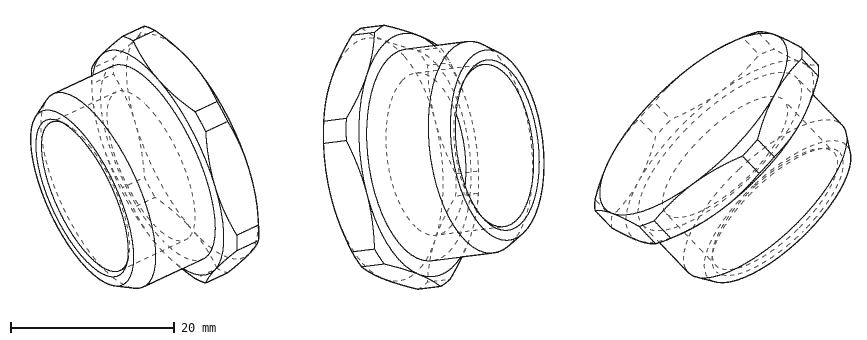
import cadquery as cq
import math

across_flats = 30.0
corner_diameter = 33.15
head_thickness = 5.0
total_length = 16.0
head_chamfer_angle = 30.0

shank_diameter = 26.12
shank_tip_diameter = 23.47
shank_chamfer_length = 2.35

bore_mouth_diameter = 21.02
bore_mouth_length = 0.5
bore_diameter = 20.02
bore_depth = 10.0
floor_cone_depth = 3.0


def revolve_about_y(outline):
    """Revolve a closed (radius, y) outline about the plug axis."""
    return cq.Workplane("XY").polyline(outline).close().revolve(360, (0, 0, 0), (0, 1, 0))


def make_head():
    """Hexagon head, corners turned round and chamfered on both faces."""
    across_corners = across_flats / math.cos(math.radians(30))
    hexagon = cq.Workplane("XZ").polygon(6, across_corners).extrude(-head_thickness)

    face_radius = across_flats / 2
    corner_radius = corner_diameter / 2
    chamfer_length = (corner_radius - face_radius) * math.tan(math.radians(head_chamfer_angle))
    turned_envelope = revolve_about_y([
        (0, 0),
        (face_radius, 0),
        (corner_radius, chamfer_length),
        (corner_radius, head_thickness - chamfer_length),
        (face_radius, head_thickness),
        (0, head_thickness),
    ])
    return hexagon.intersect(turned_envelope)


tip_y = head_thickness - total_length


def make_shank():
    """Round shank with a chamfered tip."""
    return revolve_about_y([
        (0, 0),
        (shank_diameter / 2, 0),
        (shank_diameter / 2, tip_y + shank_chamfer_length),
        (shank_tip_diameter / 2, tip_y),
        (0, tip_y),
    ])


def make_bore():
    """Blind, round bore with a chamfered mouth and a shallow conical floor."""
    floor_y = tip_y + bore_depth
    return revolve_about_y([
        (0, tip_y),
        (bore_mouth_diameter / 2, tip_y),
        (bore_diameter / 2, tip_y + bore_mouth_length),
        (bore_diameter / 2, floor_y),
        (0, floor_y + floor_cone_depth),
    ])


result = make_head().union(make_shank()).cut(make_bore())